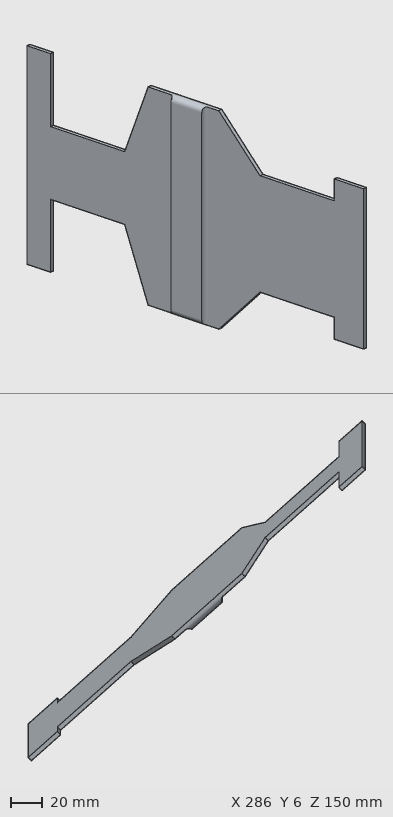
import cadquery as cq
import math

overall_length = 286.0
body_height = 150.0
overall_depth = 6.0
plate_thickness = 3.0

left_bar_width = 20.0
left_neck_end = 83.0
left_neck_height = 50.0

body_start = 103.0
body_end = 163.0

right_neck_start = 198.0
right_neck_height = 80.0
right_bar_width = 25.0
right_bar_height = 110.0

pad_start = 125.0
pad_width = 26.25

edge_radius = 4.0

plate_front = overall_depth - plate_thickness
flare_radius = plate_front


def front_extrusion(outline, front, back):
    """Extrude a closed (X, Z) outline from Y = front to Y = back."""
    plane = cq.Workplane("XZ", origin=(0, front, 0))
    return plane.polyline(outline).close().extrude(front - back)


def make_plate():
    """Flat plate with a crossbar at each end, symmetric about Z = 0."""
    right_bar_start = overall_length - right_bar_width
    upper_edge = [
        (0, body_height / 2),
        (left_bar_width, body_height / 2),
        (left_bar_width, left_neck_height / 2),
        (left_neck_end, left_neck_height / 2),
        (body_start, body_height / 2),
        (body_end, body_height / 2),
        (right_neck_start, right_neck_height / 2),
        (right_bar_start, right_neck_height / 2),
        (right_bar_start, right_bar_height / 2),
        (overall_length, right_bar_height / 2),
    ]
    lower_edge = [(x, -z) for x, z in reversed(upper_edge)]
    return front_extrusion(upper_edge + lower_edge, plate_front, overall_depth)


def make_pad():
    """Full-height pad whose sides flare out to the plate in concave arcs."""
    pad_end = pad_start + pad_width
    bulge = flare_radius * math.sqrt(0.5)
    foot_start = pad_start - flare_radius
    foot_end = pad_end + flare_radius
    profile = (
        cq.Workplane("XY", origin=(0, 0, -body_height / 2))
        .moveTo(foot_start, overall_depth)
        .lineTo(foot_start, plate_front)
        .threePointArc((foot_start + bulge, bulge), (pad_start, 0))
        .lineTo(pad_end, 0)
        .threePointArc((foot_end - bulge, bulge), (foot_end, plate_front))
        .lineTo(foot_end, overall_depth)
        .close()
    )
    return profile.extrude(body_height)


def make_edge_waste():
    """Material outside the rounded top and bottom front edges of the middle."""
    size = (body_end - body_start, overall_depth, body_height)
    block = cq.Workplane("XY", origin=(body_start, 0, 0)).box(*size, centered=(False, False, True))
    rounded = block.faces("<Y").edges("|X").fillet(edge_radius)
    return block.cut(rounded)


result = make_plate().union(make_pad()).cut(make_edge_waste())